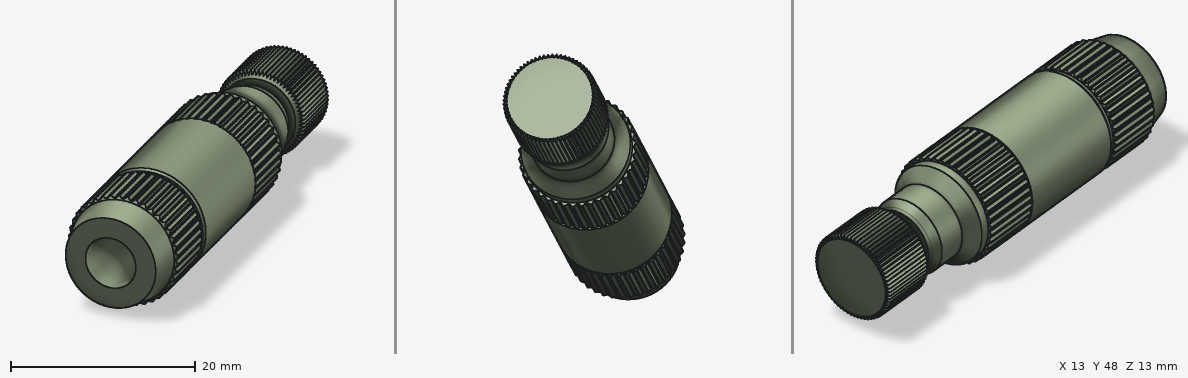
import cadquery as cq
import math

length = 48.0
body_diameter = 13.0
body_radius = body_diameter / 2

nose_tip_radius = 5.35
nose_base_radius = 6.1
nose_length = 3.25
bore_radius = 3.0

nut_end = 10.3
nut_chamfer = 0.3
bore_depth = nut_end

neck_radius = 6.25
sleeve_start = 10.75
sleeve_chamfer = 0.3

grip_start = 24.65
grip_end = 31.8

collar_radius = 6.05
collar_end = 32.9
stem_radius = 4.6
stem_start = 34.5
stem_end = 38.0
stem_taper_radius = 4.2
stem_taper_end = 39.15
stem_rim_radius = 4.05
stem_rim_end = 39.6

spindle_radius = 3.0
knob_radius = 5.2
knob_start = 40.55
knob_inner_chamfer_width = 0.8
knob_inner_chamfer_length = 0.65
knob_outer_chamfer_width = 0.45
knob_outer_chamfer_length = 0.3

body_groove_count = 40
body_groove_depth = 0.3
body_groove_floor = 0.15
body_ridge_land = 0.1
knob_groove_count = 68
knob_groove_depth = 0.5

knurl_clearance = 0.5


def revolved_body():
    """Solid turned about the Y axis from a half profile of (radius, Y) points."""
    profile = [
        (0, 0),
        (nose_tip_radius, 0),
        (nose_base_radius, nose_length),
        (body_radius, nose_length + nut_chamfer),
        (body_radius, nut_end - nut_chamfer),
        (neck_radius, nut_end),
        (neck_radius, sleeve_start),
        (body_radius, sleeve_start + sleeve_chamfer),
        (body_radius, grip_end),
        (collar_radius, grip_end),
        (collar_radius, collar_end),
        (stem_radius, stem_start),
        (stem_radius, stem_end),
        (stem_taper_radius, stem_taper_end),
        (stem_rim_radius, stem_rim_end),
        (spindle_radius, stem_rim_end),
        (spindle_radius, knob_start),
        (knob_radius - knob_inner_chamfer_width, knob_start),
        (knob_radius, knob_start + knob_inner_chamfer_length),
        (knob_radius, length - knob_outer_chamfer_length),
        (knob_radius - knob_outer_chamfer_width, length),
        (0, length),
    ]
    return cq.Workplane("XY").polyline(profile).close().revolve(360, (0, 0, 0), (0, 1, 0))


def polar_point(radius, angle):
    return (radius * math.cos(angle), radius * math.sin(angle))


def flat_points(radius, angle, width):
    """Ends of a flat of the given width centred on an angle, or one point if the width is zero."""
    if width == 0:
        return [polar_point(radius, angle)]
    half_angle = width / 2 / radius
    return [polar_point(radius, angle - half_angle), polar_point(radius, angle + half_angle)]


def knurl_cutter(start, end, radius, groove_count, groove_depth, floor=0, land=0):
    """Ring between two Y positions whose toothed inner wall cuts tapered grooves; one groove lies at +Z."""
    pitch = 2 * math.pi / groove_count
    root_radius = radius - groove_depth
    teeth = []
    for i in range(groove_count):
        groove_angle = math.pi / 2 + i * pitch
        ridge_angle = groove_angle + pitch / 2
        teeth += flat_points(root_radius, groove_angle, floor)
        teeth += flat_points(radius, ridge_angle, land)
    plane = cq.Workplane("XZ", origin=(0, end, 0))
    ring = plane.circle(radius + knurl_clearance).extrude(end - start)
    return ring.cut(plane.polyline(teeth).close().extrude(end - start))


def cable_bore():
    return cq.Workplane("XZ").circle(bore_radius).extrude(-bore_depth)


def body_knurl_cutter(start, end):
    return knurl_cutter(
        start, end, body_radius, body_groove_count, body_groove_depth, body_groove_floor, body_ridge_land
    )


result = (
    revolved_body()
    .cut(body_knurl_cutter(nose_length, nut_end))
    .cut(body_knurl_cutter(grip_start, grip_end))
    .cut(knurl_cutter(knob_start, length, knob_radius, knob_groove_count, knob_groove_depth))
    .cut(cable_bore())
)